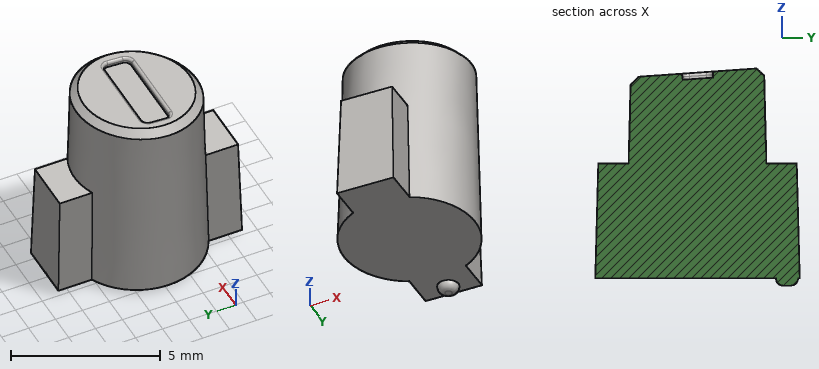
import cadquery as cq
import math

draft_angle = 1.5

body_radius = 2.41
body_centre_height = 6.87
top_slope = 4.0
top_chamfer = 0.26
stock_height = 7.985

ear_span = 6.83
ear_width = 2.09
ear_height = 3.83

rim_radius = 0.1
recess_length = 3.22
recess_width = 1.01
recess_corner_radius = 0.22
recess_depth = 0.2

pip_radius = 0.38
pip_depth = 0.255
pip_y = 2.99

slope = math.radians(top_slope)
top_plane = cq.Plane(
    origin=(0, 0, body_centre_height),
    xDir=(1, 0, 0),
    normal=(0, -math.sin(slope), math.cos(slope)),
)


def make_body():
    """Tapered round post, cut along the sloping plane and chamfered."""
    post = cq.Workplane("XY").circle(body_radius).extrude(stock_height, taper=draft_angle)
    waste_size = 4 * body_radius
    waste = cq.Workplane(top_plane).rect(waste_size, waste_size).extrude(stock_height)
    return post.cut(waste).faces(">Z").chamfer(top_chamfer)


def make_ears():
    """One drafted block through the post forms both ears."""
    return cq.Workplane("XY").rect(ear_width, ear_span).extrude(ear_height, taper=draft_angle)


def cut_recess(part):
    """Sink the round-cornered pocket square to the top face and round its rim."""
    outline = cq.Sketch().rect(recess_length, recess_width).vertices().fillet(recess_corner_radius)
    pocket = cq.Workplane(top_plane).placeSketch(outline).extrude(-recess_depth)
    pocketed = part.cut(pocket)
    top_face = pocketed.faces(cq.selectors.DirectionMinMaxSelector(top_plane.zDir)).val()
    rim_edges = top_face.innerWires()[0].Edges()
    return pocketed.newObject(rim_edges).fillet(rim_radius)


def make_pip():
    """Downward button whose side is a quarter round ending in a flat tip."""
    tip_radius = pip_radius - pip_depth
    arc_offset = pip_depth * math.sqrt(0.5)
    profile = (
        cq.Workplane("XZ")
        .lineTo(pip_radius, 0)
        .threePointArc((tip_radius + arc_offset, -arc_offset), (tip_radius, -pip_depth))
        .lineTo(0, -pip_depth)
        .close()
    )
    return profile.revolve(360, (0, 0), (0, 1)).translate((0, pip_y, 0))


result = cut_recess(make_body()).union(make_ears()).union(make_pip())